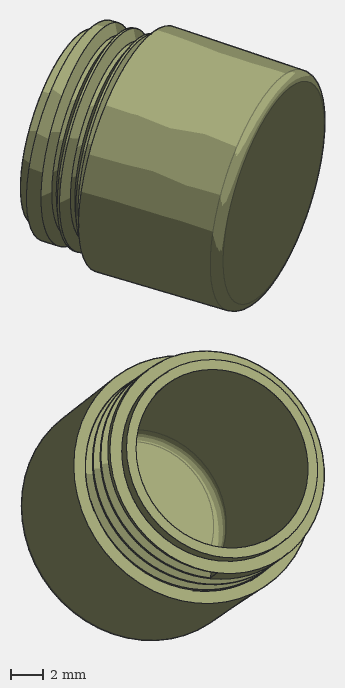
import cadquery as cq
import math


total_length = 14.28
lip_length = 0.8
neck_length = 4.75
floor_thickness = 0.8
floor_height = total_length - floor_thickness

cap_radius = 7.94
thread_radius = 7.13
lip_radius = 6.35
bore_radius = 5.72

draft_angle = 1.0
edge_fillet = 0.6

pitch = 1.27
groove_depth = 0.7
flank_angle = 30.0
root_width = 0.3
groove_start = 1.4
groove_turns = 3
groove_start_angle = -90
cutter_overlap = 0.03


def drafted_solid(base_height, top_height, base_radius):
    """Cone narrowing by the draft angle, with its narrow end rounded."""
    length = top_height - base_height
    top_radius = base_radius - length * math.tan(math.radians(draft_angle))
    cone = cq.Solid.makeCone(base_radius, top_radius, length, pnt=cq.Vector(0, 0, base_height))
    return cq.Workplane(cone).faces(">Z").edges().fillet(edge_fillet)


def thread_groove():
    """Helical cutter with sloped flanks and a flat root."""
    root_radius = thread_radius - groove_depth
    outer_radius = thread_radius + cutter_overlap
    flank_slope = math.tan(math.radians(flank_angle))
    root_half = root_width / 2
    outer_half = root_half + (outer_radius - root_radius) * flank_slope
    profile = cq.Workplane("XZ").polyline([
        (root_radius, groove_start - root_half),
        (outer_radius, groove_start - outer_half),
        (outer_radius, groove_start + outer_half),
        (root_radius, groove_start + root_half),
    ]).close()
    start_center = cq.Vector(0, 0, groove_start)
    helix = cq.Wire.makeHelix(pitch, groove_turns * pitch, root_radius, center=start_center)
    cutter = profile.sweep(cq.Workplane(helix), isFrenet=True)
    return cutter.rotate((0, 0, 0), (0, 0, 1), groove_start_angle)


lip = cq.Workplane().circle(lip_radius).extrude(lip_length)

neck_blank_length = neck_length - lip_length
neck = cq.Workplane().workplane(offset=lip_length).circle(thread_radius).extrude(neck_blank_length)

cap_body = drafted_solid(neck_length, total_length, cap_radius)
bore = drafted_solid(0, floor_height, bore_radius)

part = lip.union(neck).union(cap_body).cut(thread_groove()).cut(bore)

result = part.rotate((0, 0, 0), (1, 1, 1), 120)